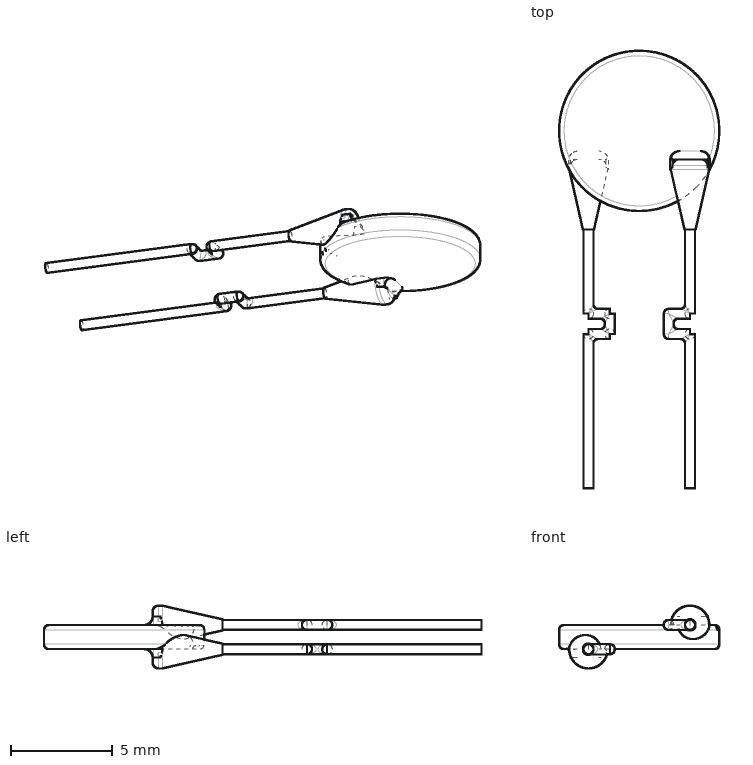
import cadquery as cq

DISC_DIAMETER = 7.9
DISC_THICKNESS = 1.2
DISC_EDGE_RADIUS = 0.25

WIRE_RADIUS = 0.25
LEAD_SPACING = 5.0
LEAD_END_Y = -17.6
JOG_DEPTH = 1.05
JOG_START_Y = -9.0
JOG_END_Y = -10.0
BEND_INNER_RADIUS = 0.2

SLEEVE_RADIUS = 0.95
SLEEVE_TIP_RADIUS = 0.28
SLEEVE_BACK_Y = -1.4
SLEEVE_CONE_Y = -1.9
SLEEVE_TIP_Y = -4.85
SLEEVE_EDGE_RADIUS = 0.3

FOOT_RADIUS = 0.4
FOOT_WIDTH = 1.96
FOOT_CORNER_RADIUS = 0.45
FOOT_SIDE_DRAFT = 15.0

FACE_Z = DISC_THICKNESS / 2
LEAD_X = LEAD_SPACING / 2


def make_disc():
    disc = cq.Workplane("XY").workplane(offset=-FACE_Z).circle(DISC_DIAMETER / 2).extrude(DISC_THICKNESS)
    return disc.edges().fillet(DISC_EDGE_RADIUS)


def make_sleeve():
    """Round-backed cone around the lead, on the upper face at +X."""
    half_profile = (
        cq.Workplane("XY", origin=(LEAD_X, 0, FACE_Z))
        .moveTo(0, SLEEVE_BACK_Y)
        .lineTo(SLEEVE_RADIUS - SLEEVE_EDGE_RADIUS, SLEEVE_BACK_Y)
        .radiusArc((SLEEVE_RADIUS, SLEEVE_BACK_Y - SLEEVE_EDGE_RADIUS), SLEEVE_EDGE_RADIUS)
        .lineTo(SLEEVE_RADIUS, SLEEVE_CONE_Y)
        .lineTo(SLEEVE_TIP_RADIUS, SLEEVE_TIP_Y)
        .lineTo(0, SLEEVE_TIP_Y)
        .close()
    )
    return half_profile.revolve(360, (0, 0, 0), (0, 1, 0))


def make_lead():
    """Lead with a square jog toward the middle of the part, at +X."""
    jog_x = LEAD_X - JOG_DEPTH
    start_y = (SLEEVE_CONE_Y + SLEEVE_TIP_Y) / 2
    route = [
        (LEAD_X, start_y),
        (LEAD_X, JOG_START_Y),
        (jog_x, JOG_START_Y),
        (jog_x, JOG_END_Y),
        (LEAD_X, JOG_END_Y),
        (LEAD_X, LEAD_END_Y),
    ]
    path = cq.Workplane("XY", origin=(0, 0, FACE_Z)).polyline(route)
    section = cq.Plane(origin=(LEAD_X, start_y, FACE_Z), xDir=(0, 0, -1), normal=(0, -1, 0))
    lead = cq.Workplane(section).circle(WIRE_RADIUS).sweep(path, transition="round")
    return round_inner_bends(lead)


def round_inner_bends(lead):
    """Fillet the re-entrant edge on the inside of each bend, one bend at a time."""
    bend_count = lead.edges("%ELLIPSE").size()
    for _ in range(bend_count):
        mitre = lead.edges("%ELLIPSE").vals()
        lead = lead.newObject([mitre[0]]).fillet(BEND_INNER_RADIUS)
    return lead


def make_foot():
    """Concave flare that runs from the sleeve back down onto the disc face."""
    foot_tip_y = SLEEVE_BACK_Y + FOOT_RADIUS
    foot_length = foot_tip_y - SLEEVE_CONE_Y
    flare = (
        cq.Workplane("YZ", origin=(LEAD_X - FOOT_WIDTH / 2, 0, FACE_Z))
        .moveTo(SLEEVE_CONE_Y, 0)
        .lineTo(foot_tip_y, 0)
        .radiusArc((SLEEVE_BACK_Y, FOOT_RADIUS), FOOT_RADIUS)
        .lineTo(SLEEVE_CONE_Y, FOOT_RADIUS)
        .close()
        .extrude(FOOT_WIDTH)
    )
    plan = (
        cq.Sketch()
        .rect(FOOT_WIDTH, foot_length)
        .vertices(">Y")
        .fillet(FOOT_CORNER_RADIUS)
    )
    rounded_block = (
        cq.Workplane("XY", origin=(LEAD_X, foot_tip_y - foot_length / 2, FACE_Z))
        .placeSketch(plan)
        .extrude(FOOT_RADIUS, taper=FOOT_SIDE_DRAFT)
    )
    return flare.intersect(rounded_block)


def make_part():
    """Disc with one terminal on its upper face and the same terminal turned over below."""
    part = make_disc()
    for piece in (make_sleeve(), make_foot(), make_lead()):
        turned_piece = piece.rotate((0, 0, 0), (0, 1, 0), 180)
        part = part.union(piece).union(turned_piece)
    return part


result = make_part()